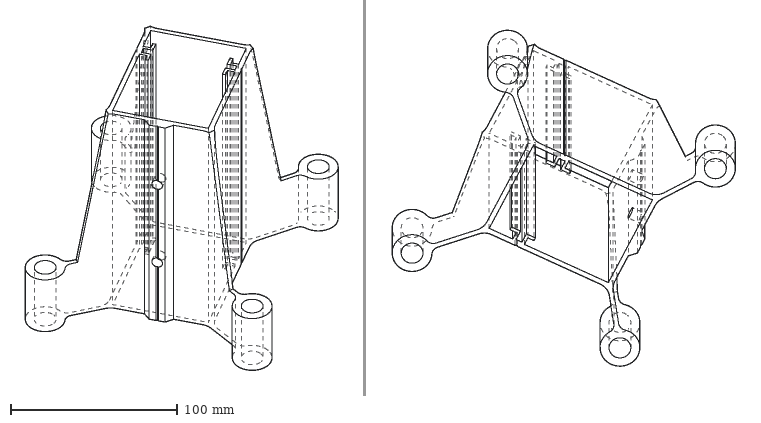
import cadquery as cq
import math

height = 150.0
length_x = 154.0
length_y = 163.5

inner_x = 60.0
inner_y = 80.0
wall = 3.1
tube_center_y = -4.7
outer_x = inner_x + 2 * wall
outer_y = inner_y + 2 * wall
front_y = tube_center_y - outer_y / 2
back_y = tube_center_y + outer_y / 2

boss_diameter = 24.0
boss_hole_diameter = 13.0
boss_height = 40.0
boss_x = (length_x - boss_diameter) / 2
boss_y = (length_y - boss_diameter) / 2

web_thickness = 3.0
wall_fillet = 10.0
boss_fillet = 5.0
slope_run = 18.6
slope_inset = 0.7

rail_y = 15.5
rail_width = 16.0
rail_depth = 6.7
rail_slot = 4.0
rail_thickness = 2.0
slot_floor_rise = 0.7

pad_base_width = 18.3
pad_tip_width = 10.1
pad_depth = (pad_base_width - pad_tip_width) / 2
pad_hole_diameter = 6.7
pad_hole_heights = (45.0, 105.0)

groove_width = 1.6
groove_depth = 0.5


def block(x_min, x_max, y_min, y_max):
    """Full-height block between the given limits."""
    shape = cq.Workplane("XY").rect(x_max - x_min, y_max - y_min).extrude(height)
    return shape.translate(((x_min + x_max) / 2, (y_min + y_max) / 2, 0))


def prism(points):
    """Full-height solid over a polygon in plan."""
    return cq.Workplane("XY").polyline(points).close().extrude(height)


def round_edge(body, point, radius):
    """Fillet the edge whose middle is nearest to the point."""
    return body.edges(cq.selectors.NearestToPointSelector(point)).fillet(radius)


def add_leg(body, side_x, side_y):
    """Add a sloped web and a foot boss to the tube corner on the given sides."""
    corner_x = side_x * outer_x / 2
    corner_y = back_y if side_y > 0 else front_y
    run_x = side_x * boss_x - corner_x
    run_y = side_y * boss_y - corner_y
    run = math.hypot(run_x, run_y)
    along_x = run_x / run
    along_y = run_y / run
    half_web = web_thickness / 2

    plan = cq.Plane(origin=(corner_x, corner_y, 0), xDir=(along_x, along_y, 0), normal=(0, 0, 1))
    web = cq.Workplane(plan).rect(2 * run, web_thickness).extrude(height)
    boss = cq.Workplane(plan).center(run, 0).circle(boss_diameter / 2).extrude(height)
    body = body.union(web).union(boss)

    boss_edge = run - math.sqrt((boss_diameter / 2) ** 2 - half_web**2)
    for side in (-1, 1):
        point = plan.toWorldCoords((boss_edge, side * half_web, height / 2))
        body = round_edge(body, point.toTuple(), boss_fillet)
    end_wall_edge = (corner_x - side_x * half_web / abs(along_y), corner_y, height / 2)
    side_wall_edge = (corner_x, corner_y - side_y * half_web / abs(along_x), height / 2)
    for point in (end_wall_edge, side_wall_edge):
        body = round_edge(body, point, wall_fillet)

    profile = cq.Plane(plan.origin, xDir=plan.xDir, normal=(along_y, -along_x, 0))
    reach = run + boss_diameter
    above_web = (
        cq.Workplane(profile)
        .moveTo(-slope_inset, height)
        .lineTo(slope_run, boss_height)
        .lineTo(reach, boss_height)
        .lineTo(reach, height)
        .close()
        .extrude(boss_diameter, both=True)
    )
    hole = cq.Workplane(plan).center(run, 0).circle(boss_hole_diameter / 2).extrude(height)
    return body.cut(above_web).cut(hole)


def rail(side_x):
    """T-slot rail made of two L-shaped lips on an inner side wall."""
    foot = side_x * inner_x / 2
    lip_outside = side_x * (inner_x / 2 - rail_depth)
    lip_inside = lip_outside + side_x * rail_thickness
    stem_inner = rail_slot / 2
    stem_outer = stem_inner + rail_thickness
    floor = foot - side_x * slot_floor_rise
    shape = prism(
        [
            (foot, rail_y - stem_inner),
            (floor, rail_y - stem_inner),
            (floor, rail_y + stem_inner),
            (foot, rail_y + stem_inner),
        ]
    )
    for side_y in (-1, 1):
        outline = [
            (foot, stem_inner),
            (lip_outside, stem_inner),
            (lip_outside, rail_width / 2),
            (lip_inside, rail_width / 2),
            (lip_inside, stem_outer),
            (foot, stem_outer),
        ]
        shape = shape.union(prism([(x, rail_y + side_y * y) for x, y in outline]))
    return shape


result = block(-outer_x / 2, outer_x / 2, front_y, back_y)
for side_x in (-1, 1):
    for side_y in (-1, 1):
        result = add_leg(result, side_x, side_y)
result = result.cut(
    block(-inner_x / 2, inner_x / 2, tube_center_y - inner_y / 2, tube_center_y + inner_y / 2)
)

pad_y = front_y - pad_depth
pad = prism(
    [
        (-pad_base_width / 2, front_y),
        (-pad_tip_width / 2, pad_y),
        (-groove_width / 2, pad_y),
        (0, pad_y + groove_depth),
        (groove_width / 2, pad_y),
        (pad_tip_width / 2, pad_y),
        (pad_base_width / 2, front_y),
    ]
)
result = result.union(pad)
hole_plane = cq.Workplane("XZ", origin=(0, pad_y, 0))
for hole_z in pad_hole_heights:
    hole = hole_plane.center(0, hole_z).circle(pad_hole_diameter / 2).extrude(-2 * (pad_depth + wall))
    result = result.cut(hole)

for side_x in (-1, 1):
    face = side_x * outer_x / 2
    groove = prism(
        [
            (face, rail_y - groove_width / 2),
            (face - side_x * groove_depth, rail_y),
            (face, rail_y + groove_width / 2),
        ]
    )
    result = result.union(rail(side_x)).cut(groove)